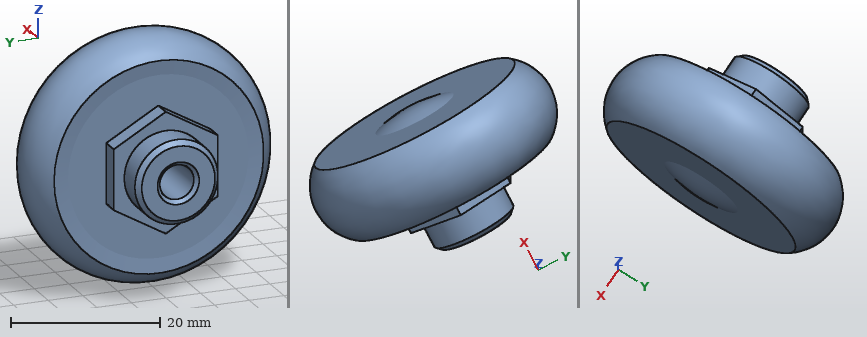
import cadquery as cq
import math

total_length = 18.92
boss_length = 4.5
hex_thickness = 2.5
dome_height = 0.92
hex_start = boss_length
wheel_start = hex_start + hex_thickness
wheel_end = total_length - dome_height
wheel_middle = (wheel_start + wheel_end) / 2

wheel_diameter = 35.55
side_face_diameter = 30.23
wheel_radius = wheel_diameter / 2
side_face_radius = side_face_diameter / 2

dish_floor_diameter = 26.03
dish_depth = 0.2
dish_floor = wheel_start + dish_depth

dome_diameter = 11.75

boss_diameter = 12.0
boss_chamfer = 0.7
hex_across_flats = 15.0
hex_across_corners = hex_across_flats / math.cos(math.pi / 6)
bore_diameter = 4.9
bore_mouth_diameter = 6.0
bore_chamfer = (bore_mouth_diameter - bore_diameter) / 2
bore_depth = 9.95
drill_point_angle = 118.0
bore_radius = bore_diameter / 2
bore_tip = bore_depth + bore_radius / math.tan(math.radians(drill_point_angle / 2))


def revolve_about_x(profile):
    """Turn a closed XY profile around the X axis."""
    return profile.close().revolve(360, (0, 0, 0), (1, 0, 0))


def make_wheel():
    """Disc with a rounded tread, a dished boss side and a shallow dome on its far side."""
    profile = (
        cq.Workplane("XY")
        .moveTo(dish_floor, 0)
        .lineTo(dish_floor, dish_floor_diameter / 2)
        .lineTo(wheel_start, side_face_radius)
        .threePointArc((wheel_middle, wheel_radius), (wheel_end, side_face_radius))
        .lineTo(wheel_end, dome_diameter / 2)
        .radiusArc((total_length, 0), dome_sphere_radius())
    )
    return revolve_about_x(profile)


def dome_sphere_radius():
    """Sphere radius that gives the dome its base diameter and height."""
    return ((dome_diameter / 2) ** 2 + dome_height**2) / (2 * dome_height)


def make_hexagon():
    """Hexagonal collar standing on the dish floor, with two corners pointing along Z."""
    return (
        cq.Workplane("YZ", origin=(hex_start, 0, 0))
        .polygon(6, hex_across_corners)
        .extrude(dish_floor - hex_start)
        .rotate((0, 0, 0), (1, 0, 0), 90)
    )


def make_boss():
    """Round boss with a chamfered free end."""
    boss = cq.Workplane("YZ").circle(boss_diameter / 2).extrude(boss_length)
    return boss.faces("<X").chamfer(boss_chamfer)


def make_bore():
    """Blind bore with a countersunk mouth and a conical drill point."""
    profile = cq.Workplane("XY").polyline(
        [
            (0, 0),
            (0, bore_mouth_diameter / 2),
            (bore_chamfer, bore_radius),
            (bore_depth, bore_radius),
            (bore_tip, 0),
        ]
    )
    return revolve_about_x(profile)


result = make_wheel().union(make_hexagon()).union(make_boss()).cut(make_bore())